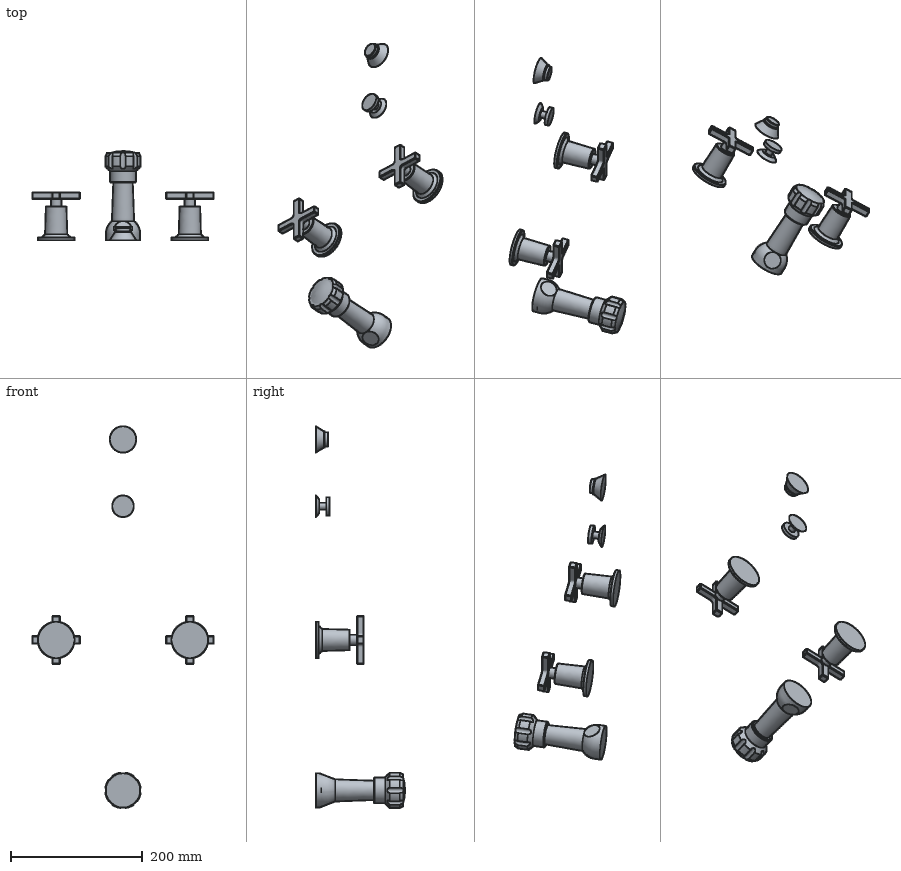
import cadquery as cq
import math


handle_spacing = 203.2
spool_height = 203.2
cone_knob_height = spool_height + 101.6
head_height = -228.6

flange_radius = 28.0
flange_thickness = 4.9
flange_chamfer = 0.9
flare_rise = 4.6
flare_shoulder = 2.2
barrel_base_radius = 17.1
barrel_end_radius = 15.9
barrel_end = 51.8
barrel_chamfer = 1.0

stem_radius = 8.2
cross_start = 62.5
cross_end = 73.2
cross_span = 73.3
arm_width = 12.2
arm_chamfer = 1.2
hub_fillet = 4.4

bell_radius = 26.2
bell_rim_end = 8.0
bell_end = 29.3
bell_mid_radius = 24.1
bell_mid = 20.0
neck_base_radius = 17.0
base_band = 6.0
flat_start_height = 26.0

neck_start = 33.6
neck_end_radius = 15.0
collar_start = 87.8
collar_end = 105.3
collar_radius = 19.9
collar_chamfer = 1.6
cap_radius = 27.25
cap_start = 112.5
cap_rim = 127.5
cap_face = 132.8
cap_face_radius = 24.5
dome_radius = 20.0
dome_top = 135.97
groove_count = 8
groove_radius = 4.0

cone_base_radius = 20.2
cone_end_radius = 12.5
cone_end = 12.4
cone_rim_end = 14.0
button_radius = 11.0
button_end = 19.2
button_chamfer = 0.8

spool_base_radius = 16.6
spool_rim_radius = 15.3
spool_rim_end = 1.6
spool_cone_radius = 10.5
spool_cone_end = 5.3
spool_stem_radius = 5.4
spool_disc_start = 15.7
spool_disc_end = 21.0
spool_disc_radius = 14.1


def turned(outline):
    """Solid turned about the Y axis from a half outline drawn from the axis in (radius, y)."""
    return outline.close().revolve(360, (0, 0, 0), (0, 1, 0))


def make_handle():
    body = turned(
        cq.Workplane("XY")
        .lineTo(flange_radius, 0)
        .lineTo(flange_radius, flange_thickness - flange_chamfer)
        .lineTo(flange_radius - flange_chamfer, flange_thickness)
        .lineTo(barrel_base_radius + flare_rise, flange_thickness)
        .lineTo(barrel_base_radius + flare_shoulder, flange_thickness + flare_shoulder)
        .lineTo(barrel_base_radius, flange_thickness + flare_rise)
        .lineTo(barrel_end_radius, barrel_end - barrel_chamfer)
        .lineTo(barrel_end_radius - barrel_chamfer, barrel_end)
        .lineTo(stem_radius, barrel_end)
        .lineTo(stem_radius, cross_start)
        .lineTo(0, cross_start)
    )
    cross_depth = cross_end - cross_start
    middle = (0, (cross_start + cross_end) / 2, 0)
    bar = cq.Workplane("XY").box(cross_span, cross_depth, arm_width)
    upright = cq.Workplane("XY").box(arm_width, cross_depth, cross_span)
    cross = bar.union(upright)
    hub_corners = cq.selectors.BoxSelector(
        (-arm_width, -cross_depth, -arm_width),
        (arm_width, cross_depth, arm_width),
    )
    cross = cross.edges("|Y").edges(hub_corners).fillet(hub_fillet)
    cross = cross.faces("<X or >X or <Z or >Z or <Y or >Y").edges().chamfer(arm_chamfer)
    return body.union(cross.translate(middle))


def make_bell():
    """Base bell, bulged at the sides and planed to sloping flats above and below."""
    bell = turned(
        cq.Workplane("XY")
        .lineTo(bell_radius, 0)
        .lineTo(bell_radius, bell_rim_end)
        .threePointArc((bell_mid_radius, bell_mid), (neck_base_radius, bell_end))
        .lineTo(0, bell_end)
    )
    side_outline = (
        cq.Workplane("YZ")
        .moveTo(0, -bell_radius)
        .lineTo(base_band, -bell_radius)
        .lineTo(base_band, -flat_start_height)
        .lineTo(bell_end, -neck_base_radius)
        .lineTo(bell_end, neck_base_radius)
        .lineTo(base_band, flat_start_height)
        .lineTo(base_band, bell_radius)
        .lineTo(0, bell_radius)
        .close()
        .extrude(bell_radius, both=True)
    )
    return bell.intersect(side_outline)


def make_cap():
    """Domed spray cap with finger grooves spaced evenly round its rim."""
    dome_rise = dome_top - cap_face
    sphere_radius = (dome_radius**2 + dome_rise**2) / (2 * dome_rise)
    half_angle = math.asin(dome_radius / sphere_radius) / 2
    dome_mid = (
        sphere_radius * math.sin(half_angle),
        dome_top - sphere_radius * (1 - math.cos(half_angle)),
    )
    cap = turned(
        cq.Workplane("XY")
        .moveTo(0, collar_end)
        .lineTo(collar_radius, collar_end)
        .lineTo(cap_radius, cap_start)
        .lineTo(cap_radius, cap_rim)
        .lineTo(cap_face_radius, cap_face)
        .lineTo(dome_radius, cap_face)
        .threePointArc(dome_mid, (0, dome_top))
    )
    cutter = (
        cq.Workplane("XZ", origin=(cap_radius, collar_end, 0))
        .circle(groove_radius)
        .extrude(-(dome_top - collar_end))
    )
    for index in range(groove_count):
        cap = cap.cut(cutter.rotate((0, 0, 0), (0, 1, 0), index * 360 / groove_count))
    return cap


def make_shower_head():
    neck = turned(
        cq.Workplane("XY")
        .moveTo(0, bell_end)
        .lineTo(neck_base_radius, bell_end)
        .lineTo(neck_base_radius, neck_start)
        .lineTo(neck_end_radius, collar_start)
        .lineTo(collar_radius - collar_chamfer, collar_start)
        .lineTo(collar_radius, collar_start + collar_chamfer)
        .lineTo(collar_radius, collar_end)
        .lineTo(0, collar_end)
    )
    return make_bell().union(neck).union(make_cap())


def make_cone_knob():
    return turned(
        cq.Workplane("XY")
        .lineTo(cone_base_radius, 0)
        .lineTo(cone_end_radius, cone_end)
        .lineTo(cone_end_radius, cone_rim_end)
        .lineTo(button_radius, cone_rim_end)
        .lineTo(button_radius, button_end - button_chamfer)
        .lineTo(button_radius - button_chamfer, button_end)
        .lineTo(0, button_end)
    )


def make_spool_knob():
    return turned(
        cq.Workplane("XY")
        .lineTo(spool_base_radius, 0)
        .lineTo(spool_rim_radius, spool_rim_end)
        .lineTo(spool_cone_radius, spool_cone_end)
        .lineTo(spool_stem_radius, spool_cone_end)
        .lineTo(spool_stem_radius, spool_disc_start)
        .lineTo(spool_disc_radius, spool_disc_start)
        .lineTo(spool_disc_radius, spool_disc_end)
        .lineTo(0, spool_disc_end)
    )


handle = make_handle()
handles = [handle.translate((side * handle_spacing / 2, 0, 0)) for side in (-1, 1)]
shower_head = make_shower_head().translate((0, 0, head_height))
spool_knob = make_spool_knob().translate((0, 0, spool_height))
cone_knob = make_cone_knob().translate((0, 0, cone_knob_height))

result = cq.Compound.makeCompound(
    [
        *[copy.val() for copy in handles],
        shower_head.val(),
        spool_knob.val(),
        cone_knob.val(),
    ]
)